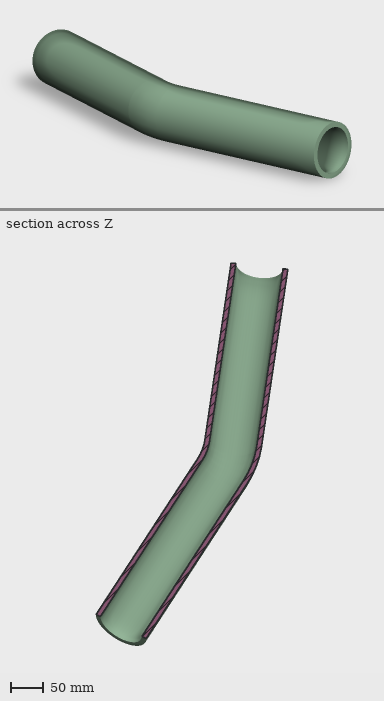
import cadquery as cq
import math

overall_length = 691.5
outer_diameter = 90.0
bore_diameter = 73.0
bend_angle = 22.0
bend_radius = 1.5 * outer_diameter

bend_sin = math.sin(math.radians(bend_angle))
bend_cos = math.cos(math.radians(bend_angle))
end_overhang = outer_diameter / 2 * bend_sin
leg_length = (overall_length - bend_radius * bend_sin - end_overhang) / (1 + bend_cos)

bend_start = (leg_length, 0)
bend_end = (leg_length + bend_radius * bend_sin, bend_radius * (1 - bend_cos))
pipe_end = (bend_end[0] + leg_length * bend_cos, bend_end[1] + leg_length * bend_sin)

centre_line = (
    cq.Workplane("XY")
    .lineTo(*bend_start)
    .tangentArcPoint(bend_end, relative=False)
    .lineTo(*pipe_end)
)

result = (
    cq.Workplane("YZ")
    .circle(outer_diameter / 2)
    .circle(bore_diameter / 2)
    .sweep(centre_line)
)